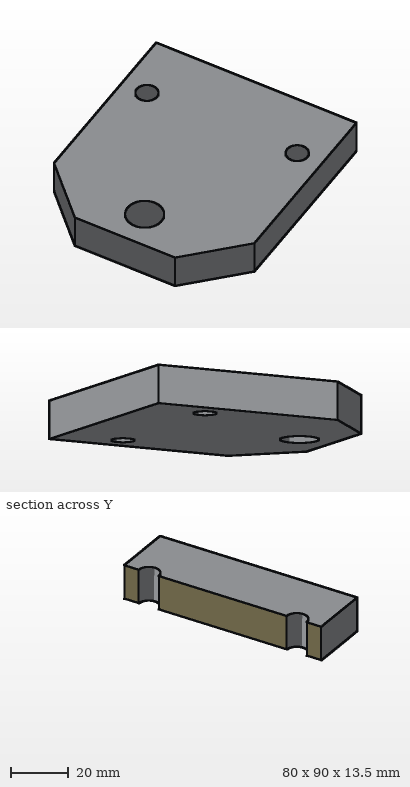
import cadquery as cq

width = 80.0
length = 90.0
thickness = 13.5
corner_cut = 20.0

small_hole_diameter = 8.0
small_hole_spacing = 60.0
small_hole_from_back = 23.5

large_hole_diameter = 13.5
large_hole_from_front = 13.5

plate = cq.Workplane("XY").box(width, length, thickness, centered=(True, True, False))

plate = plate.edges("|Z and <Y").chamfer(corner_cut)

small_hole_y = length / 2 - small_hole_from_back
large_hole_y = -length / 2 + large_hole_from_front

plate = (
    plate.faces(">Z")
    .workplane(origin=(0, 0, thickness))
    .pushPoints([(side * small_hole_spacing / 2, small_hole_y) for side in (-1, 1)])
    .hole(small_hole_diameter)
)

result = (
    plate.faces(">Z")
    .workplane(origin=(0, 0, thickness))
    .pushPoints([(0, large_hole_y)])
    .hole(large_hole_diameter)
)